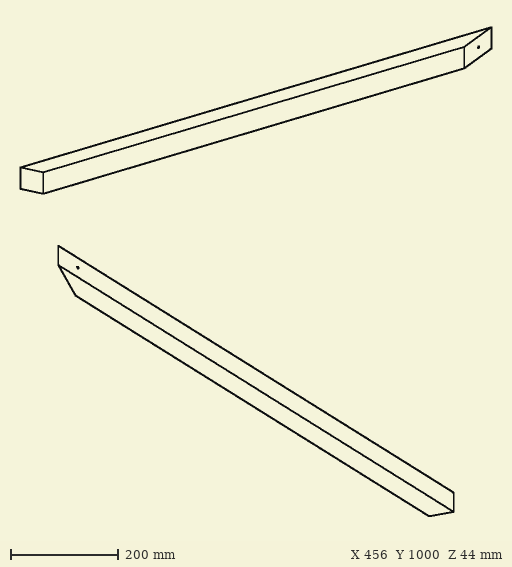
import cadquery as cq
import math

span_x = 456.0
span_y = 1000.0
bar_size = 44.0

hole_diameter = 3.5
hole_from_tip = 50.0

lean_angle = math.atan2(span_x, span_y)
foot_length = bar_size / math.cos(lean_angle)
mitre_length = bar_size / math.sin(lean_angle)


def make_bar():
    """Leaning bar of square section, extruded upward from its plan outline."""
    outline = [
        (0, 0),
        (foot_length, 0),
        (span_x, span_y - mitre_length),
        (span_x, span_y),
    ]
    return cq.Workplane("XY").polyline(outline).close().extrude(bar_size)


def make_hole():
    """Cylinder along X, at mid height, crossing the tip to the mitred face."""
    return (
        cq.Workplane("YZ")
        .center(span_y - hole_from_tip, bar_size / 2)
        .circle(hole_diameter / 2)
        .extrude(span_x)
    )


result = make_bar().cut(make_hole())